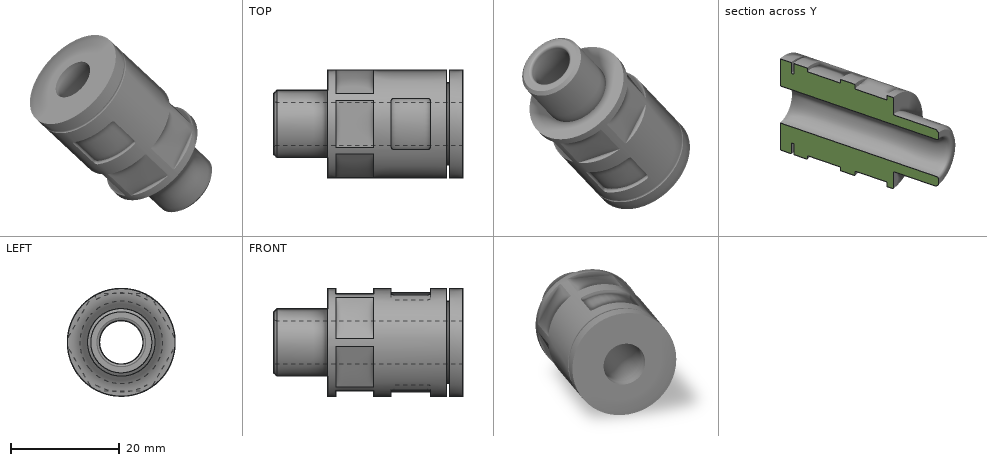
import cadquery as cq
import math

TOTAL_LENGTH = 35.0
BODY_DIAMETER = 20.0
BODY_RADIUS = BODY_DIAMETER / 2

SPIGOT_DIAMETER = 12.5
SPIGOT_LENGTH = 10.0
SPIGOT_CHAMFER = 0.6
BORE_DIAMETER = 8.0
BORE_MOUTH_FILLET = 0.5

GROOVE_DIAMETER = 15.3
GROOVE_WIDTH = 0.5
COLLAR_LENGTH = 2.5

FLAT_COUNT = 6
ACROSS_FLATS = 18.0
FLANGE_THICKNESS = 1.5
FLAT_LENGTH = 7.0
FLATS_START = SPIGOT_LENGTH + FLANGE_THICKNESS

WINDOW_START = 21.75
WINDOW_LENGTH = 7.25
WINDOW_WIDTH = 9.5
WINDOW_DEPTH = 0.8
WINDOW_CORNER_RADIUS = 0.5

CLEARANCE = 1.0


def cylinder(start, length, diameter):
    """Solid cylinder on the X axis."""
    return cq.Workplane("YZ", origin=(start, 0, 0)).circle(diameter / 2).extrude(length)


def ring_cutter(start, length, inner):
    """Material between an inner solid and just beyond the body surface."""
    return cylinder(start, length, BODY_DIAMETER + 2 * CLEARANCE).cut(inner)


def make_blank():
    """Spigot with a chamfered tip, joined to the plain body cylinder."""
    spigot = cylinder(0, SPIGOT_LENGTH, SPIGOT_DIAMETER).faces("<X").chamfer(SPIGOT_CHAMFER)
    body = cylinder(SPIGOT_LENGTH, TOTAL_LENGTH - SPIGOT_LENGTH, BODY_DIAMETER)
    return spigot.union(body)


def cut_bore(part):
    """Through bore with a rounded mouth at the spigot tip."""
    part = part.cut(cylinder(0, TOTAL_LENGTH, BORE_DIAMETER))
    mouth = cq.selectors.RadiusNthSelector(0)
    return part.faces("<X").edges(mouth).fillet(BORE_MOUTH_FILLET)


def cut_groove(part):
    start = TOTAL_LENGTH - COLLAR_LENGTH - GROOVE_WIDTH
    core = cylinder(start, GROOVE_WIDTH, GROOVE_DIAMETER)
    return part.cut(ring_cutter(start, GROOVE_WIDTH, core))


def cut_wrench_flats(part):
    """Hexagon with flats facing +Z and -Z; its corners lie outside the body."""
    across_corners = ACROSS_FLATS / math.cos(math.pi / FLAT_COUNT)
    hexagon = (
        cq.Workplane("YZ", origin=(FLATS_START, 0, 0))
        .polygon(FLAT_COUNT, across_corners)
        .extrude(FLAT_LENGTH)
    )
    return part.cut(ring_cutter(FLATS_START, FLAT_LENGTH, hexagon))


def cut_windows(part):
    """Opposed rounded rectangular windows of uniform radial depth."""
    centre = WINDOW_START + WINDOW_LENGTH / 2
    outline = (
        cq.Workplane("XY", origin=(centre, 0, 0))
        .rect(WINDOW_LENGTH, WINDOW_WIDTH)
        .extrude(BODY_RADIUS + CLEARANCE, both=True)
        .edges("|Z")
        .fillet(WINDOW_CORNER_RADIUS)
    )
    floor_diameter = BODY_DIAMETER - 2 * WINDOW_DEPTH
    core = cylinder(WINDOW_START - CLEARANCE, WINDOW_LENGTH + 2 * CLEARANCE, floor_diameter)
    return part.cut(outline.cut(core))


result = make_blank()
result = cut_bore(result)
result = cut_groove(result)
result = cut_wrench_flats(result)
result = cut_windows(result)